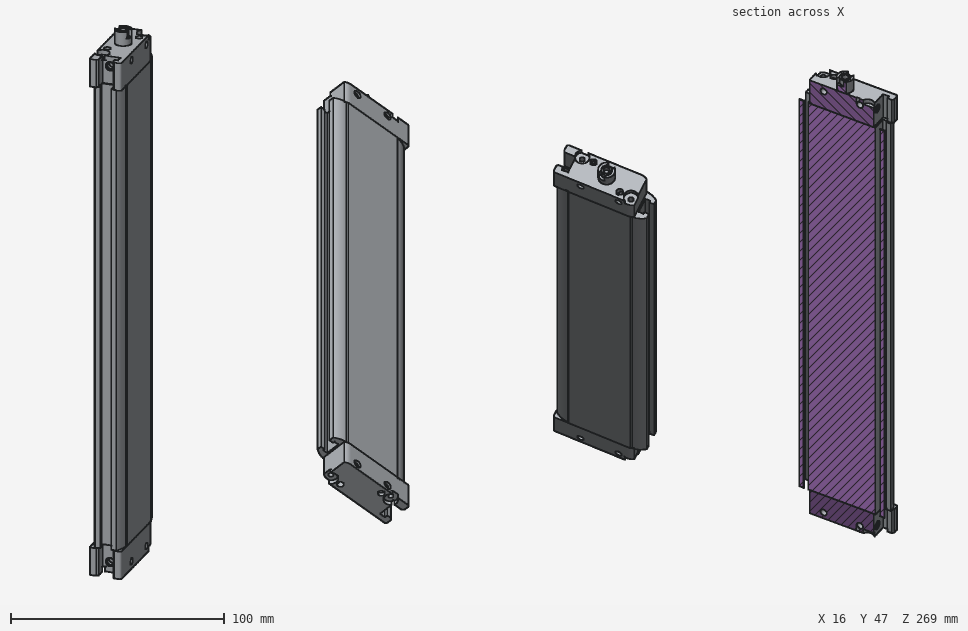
import cadquery as cq

total_length = 269.0
width = 16.0
half_width = width / 2

profile_half_depth = 23.0
lip_shoulder = 5.25
corner_radius = 11.8
corner_start = 16.7
corner_inset = 0.4
slot_half_opening = 2.82
slot_half_width = 3.8
lip_thickness = 2.5
slot_floor = 18.3
bevel_length = 0.8

cap_height = 14.0
cap_front = -24.0
cap_back = 17.5
cap_corner_radius = 5.5
cap_corner_start = 14.3
cap_corner_end = 6.85
cap_leg_radius = 1.0
cap_slot_half_opening = 3.63
cap_undercut_reach = 5.25
cap_slot_floor = -17.5
cap_lip_inner = -20.7
cap_mouth_chamfer = 0.8

cross_hole_diameter = 3.2
cross_counterbore_diameter = 4.0
cross_counterbore_depth = 1.3
cross_hole_spacing = 19.6
cross_hole_inset = 3.8
slot_hole_diameter = 3.2
slot_hole_depth = 3.2
slot_counterbore_diameter = 4.3
slot_counterbore_depth = 0.8
slot_hole_inset = 5.0
screw_x = 4.8
screw_y = 14.8
screw_diameter = 2.5
counterbore_diameter = 7.0
counterbore_depth = 2.5
pin_hole_x = 4.5
pin_hole_y = 9.0
pin_hole_diameter = 3.2
pin_hole_depth = cross_hole_inset

connector_diameter = 8.0
connector_height = 7.0
core_diameter = 5.0
core_recess = 0.3
socket_diameter = 3.2
socket_depth = 3.2
key_width = 3.5
key_depth = 3.5
key_angle = -17.0

profile_length = total_length - connector_height - 2 * cap_height
lower_cap_top = cap_height
upper_cap_bottom = lower_cap_top + profile_length
upper_cap_top = upper_cap_bottom + cap_height


def box_between(x0, x1, y0, y1, z0, z1):
    """Box given by its limits along each axis."""
    return cq.Workplane("XY").box(x1 - x0, y1 - y0, z1 - z0, centered=False).translate((x0, y0, z0))


def make_profile():
    """Long bar with rounded corners, bevelled flat sides and a T-slot on each narrow side."""
    flat_end = corner_start - bevel_length
    corner_x = half_width - corner_inset
    bar = (
        cq.Workplane("XY")
        .moveTo(half_width, -flat_end)
        .lineTo(half_width, flat_end)
        .lineTo(corner_x, corner_start)
        .radiusArc((lip_shoulder, profile_half_depth), -corner_radius)
        .lineTo(-lip_shoulder, profile_half_depth)
        .radiusArc((-corner_x, corner_start), -corner_radius)
        .lineTo(-half_width, flat_end)
        .lineTo(-half_width, -flat_end)
        .lineTo(-corner_x, -corner_start)
        .radiusArc((-lip_shoulder, -profile_half_depth), -corner_radius)
        .lineTo(lip_shoulder, -profile_half_depth)
        .radiusArc((corner_x, -corner_start), -corner_radius)
        .close()
        .extrude(profile_length)
    )
    lip_inner = profile_half_depth - lip_thickness
    mouth = box_between(
        -slot_half_opening, slot_half_opening, slot_floor, profile_half_depth, 0, profile_length
    )
    undercut = box_between(-slot_half_width, slot_half_width, slot_floor, lip_inner, 0, profile_length)
    slot = mouth.union(undercut)
    bar = bar.cut(slot).cut(slot.mirror("XZ"))
    return bar.translate((0, 0, lower_cap_top))


def cap_blank():
    """Cap block with rounded corners and a slot between its legs, undercut on the +X side."""
    block = (
        cq.Workplane("XY")
        .moveTo(half_width, cap_front)
        .lineTo(half_width, cap_corner_start)
        .radiusArc((cap_corner_end, cap_back), -cap_corner_radius)
        .lineTo(-cap_corner_end, cap_back)
        .radiusArc((-half_width, cap_corner_start), -cap_corner_radius)
        .lineTo(-half_width, cap_front)
        .close()
        .extrude(cap_height)
        .edges("|Z and <Y")
        .fillet(cap_leg_radius)
    )
    mouth_half_width = cap_slot_half_opening + cap_mouth_chamfer
    mouth_inner = cap_front + cap_mouth_chamfer
    slot = (
        cq.Workplane("XY")
        .polyline([
            (-mouth_half_width, cap_front),
            (mouth_half_width, cap_front),
            (cap_slot_half_opening, mouth_inner),
            (cap_slot_half_opening, cap_slot_floor),
            (-cap_slot_half_opening, cap_slot_floor),
            (-cap_slot_half_opening, mouth_inner),
        ])
        .close()
        .extrude(cap_height)
    )
    undercut = box_between(0, cap_undercut_reach, cap_lip_inner, cap_slot_floor, 0, cap_height)
    return block.cut(slot).cut(undercut)


def cross_cylinders(start_x, diameter, length):
    """Pair of cylinders along X at the cross hole axes, starting at start_x."""
    return (
        cq.Workplane("YZ", origin=(start_x, 0, cap_height - cross_hole_inset))
        .pushPoints([(-cross_hole_spacing / 2, 0), (cross_hole_spacing / 2, 0)])
        .circle(diameter / 2)
        .extrude(length)
    )


def make_upper_cap():
    """End cap with its outer face up, standing on Z = 0."""
    end_face = cq.Workplane("XY", origin=(0, 0, cap_height))
    screw_points = [(screw_x, screw_y), (-screw_x, -screw_y)]
    pin_points = [(pin_hole_x, pin_hole_y), (-pin_hole_x, -pin_hole_y)]
    screw_holes = end_face.pushPoints(screw_points).circle(screw_diameter / 2).extrude(-cap_height)
    counterbores = (
        end_face.pushPoints(screw_points).circle(counterbore_diameter / 2).extrude(-counterbore_depth)
    )
    pin_holes = end_face.pushPoints(pin_points).circle(pin_hole_diameter / 2).extrude(-pin_hole_depth)
    cross_holes = cross_cylinders(-half_width, cross_hole_diameter, width)
    cross_counterbores = cross_cylinders(-half_width, cross_counterbore_diameter, cross_counterbore_depth)
    slot_face = cq.Workplane("XZ", origin=(0, cap_slot_floor, cap_height - slot_hole_inset))
    slot_hole = slot_face.circle(slot_hole_diameter / 2).extrude(-slot_hole_depth)
    slot_counterbore = slot_face.circle(slot_counterbore_diameter / 2).extrude(-slot_counterbore_depth)
    cap = cap_blank()
    end_cutters = (screw_holes, counterbores, pin_holes)
    side_cutters = (cross_holes, cross_counterbores, slot_hole, slot_counterbore)
    for cutter in end_cutters + side_cutters:
        cap = cap.cut(cutter)
    return cap


def make_connector():
    """Round plug with a recessed core, a central socket and two opposite key notches in its rim."""
    top = cq.Workplane("XY", origin=(0, 0, connector_height))
    plug = cq.Workplane("XY").circle(connector_diameter / 2).extrude(connector_height)
    recess = top.circle(core_diameter / 2).extrude(-core_recess)
    socket = top.circle(socket_diameter / 2).extrude(-socket_depth)
    rim = top.circle(connector_diameter / 2).circle(core_diameter / 2).extrude(-key_depth)
    key_bar = (
        top.transformed(rotate=(0, 0, key_angle)).rect(2 * connector_diameter, key_width).extrude(-key_depth)
    )
    plug = plug.cut(recess).cut(socket).cut(rim.intersect(key_bar))
    return plug.translate((0, 0, upper_cap_top))


profile = make_profile()
upper_cap = make_upper_cap().translate((0, 0, upper_cap_bottom))
lower_cap = make_upper_cap().mirror("XY").translate((0, 0, lower_cap_top))
connector = make_connector()

result = cq.Compound.makeCompound([profile.val(), upper_cap.val(), lower_cap.val(), connector.val()])